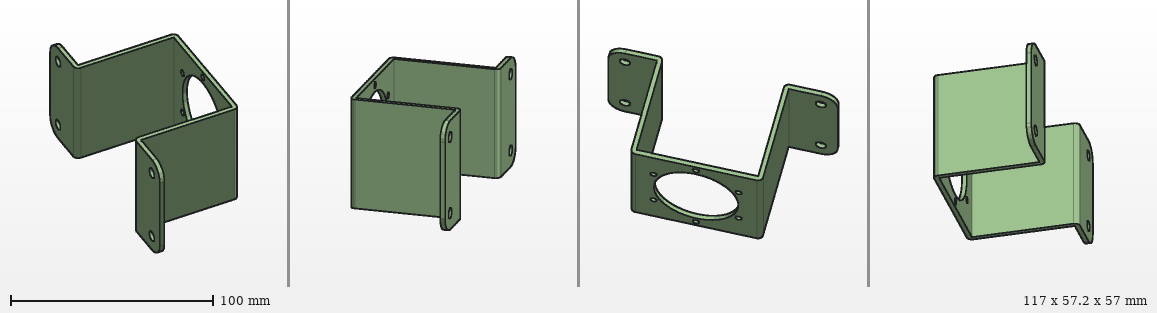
import cadquery as cq

length = 117.0
depth = 57.2
height = 57.0
thickness = 2.6
inner_bend_radius = 0.06
channel_width = 67.2

bore_diameter = 43.0
bolt_hole_diameter = 3.2
bolt_circle_radius = 25.0
bolt_count = 6

mount_hole_diameter = 5.3
mount_hole_inset = 8.5

outer_bend_radius = inner_bend_radius + thickness
corner_radius = mount_hole_inset
half_length = length / 2
outer_wall_x = channel_width / 2
inner_wall_x = outer_wall_x - thickness
front_y = -depth / 2
back_y = depth / 2
mount_hole_x = half_length - mount_hole_inset
mount_hole_z = height / 2 - mount_hole_inset


def plate(x_min, x_max, y_min, y_max):
    """Full-height rectangular block between the given X and Y limits."""
    return cq.Workplane("XY").box(x_max - x_min, y_max - y_min, height).translate(
        ((x_min + x_max) / 2, (y_min + y_max) / 2, 0)
    )


def bent_sheet():
    """Hat-shaped sheet with rounded bends, square at the flange ends."""
    flange_back_y = front_y + thickness
    panel_front_y = back_y - thickness
    body = plate(-outer_wall_x, outer_wall_x, front_y, back_y)
    body = body.union(plate(-half_length, half_length, front_y, flange_back_y))
    body = body.cut(plate(-inner_wall_x, inner_wall_x, front_y, panel_front_y))

    for side in (-1, 1):
        inner_x = side * inner_wall_x
        outer_x = side * outer_wall_x
        bends = (
            (outer_x, back_y, outer_bend_radius),
            (inner_x, panel_front_y, inner_bend_radius),
            (inner_x, front_y, outer_bend_radius),
            (outer_x, flange_back_y, inner_bend_radius),
        )
        for x, y, radius in bends:
            edge = cq.selectors.NearestToPointSelector((x, y, 0))
            body = body.edges("|Z").edges(edge).fillet(radius)
    return body


def round_flange_corners(body):
    return body.edges("|Y").edges("<X or >X").fillet(corner_radius)


def hole_cutters(workplane, diameter):
    """Cylinders along Y through the whole depth, one at each point of the workplane."""
    return workplane.circle(diameter / 2).extrude(depth, both=True)


result = round_flange_corners(bent_sheet())

center_plane = cq.Workplane("XZ")
result = result.cut(hole_cutters(center_plane, bore_diameter))
bolt_points = center_plane.polarArray(bolt_circle_radius, 90, 360, bolt_count)
result = result.cut(hole_cutters(bolt_points, bolt_hole_diameter))

mount_points = center_plane.rarray(2 * mount_hole_x, 2 * mount_hole_z, 2, 2)
result = result.cut(hole_cutters(mount_points, mount_hole_diameter))